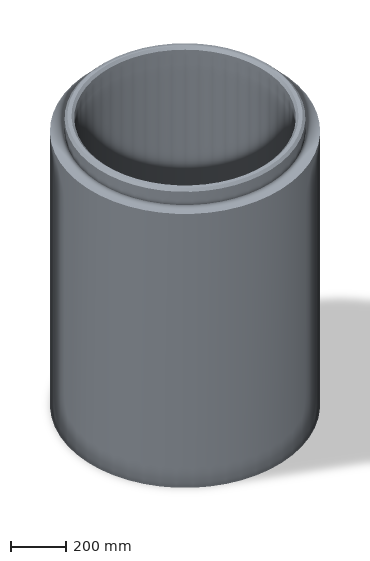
import cadquery as cq

total_height = 1324.0
body_radius = 488.0
bore_radius = 400.0

spigot_height = 70.0
spigot_radius = 435.0
spigot_chamfer = 10.0

mouth_depth = 72.0
mouth_chamfer = 10.0

base_band_height = 72.0

shoulder_z = total_height - spigot_height
chamfer_z = total_height - spigot_chamfer
mouth_chamfer_z = total_height - mouth_chamfer
mouth_z = total_height - mouth_depth


def pipe_wall():
    """Half section of the wall, with radius along X and height along Y of the XZ plane."""
    return (
        cq.Workplane("XZ")
        .moveTo(bore_radius, 0)
        .lineTo(body_radius, 0)
        .lineTo(body_radius, base_band_height)
        .lineTo(body_radius, shoulder_z)
        .lineTo(spigot_radius, shoulder_z)
        .lineTo(spigot_radius, chamfer_z)
        .lineTo(spigot_radius - spigot_chamfer, total_height)
        .lineTo(bore_radius + mouth_chamfer, total_height)
        .lineTo(bore_radius, mouth_chamfer_z)
        .lineTo(bore_radius, mouth_z)
        .close()
    )


result = pipe_wall().revolve(360, (0, 0), (0, 1), clean=False)